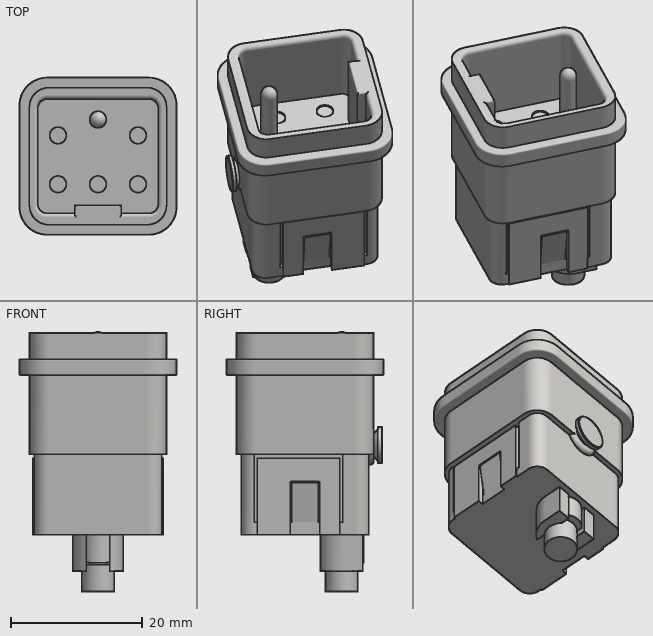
import cadquery as cq

total_height = 39.6
clamp_bottom = 3.13
stub_top = 4.1
core_bottom = 4.4
body_bottom = 8.65
recess_bottom = 10.57
body_step = 20.9
flange_bottom = 33.0
flange_top = 35.45
rim_top = 39.45
floor_height = 26.8

upper_width = 20.9
upper_radius = 2.97
lower_width = 19.5
lower_radius = 1.98
flange_width = 24.0
flange_radius = 4.28
flange_edge = 0.25

cavity_length = 18.37
cavity_width = 17.42
cavity_radius = 1.43
rim_fillet = 0.6
key_width = 7.13
key_front = -7.45
key_edge = 0.25

contact_radius = 1.25
contact_depth = 0.25
contact_x = 6.1
back_row_y = 3.15
front_row_y = -4.28
earth_y = 5.6

plate_center_y = -1.0
plate_width = 12.6
plate_top = 20.35
plate_outer_x = 9.98
recess_width = 13.5
recess_depth = 0.65
recess_floor_x = lower_width / 2 - recess_depth
window_width = 4.47
window_top = 16.8
window_corner = 0.25
hook_gap = 0.25

screw_z = 22.35
boss_radius = 3.0
boss_face_y = 10.5
boss_fillet = 0.6
screw_neck_radius = 1.82
screw_cone_radius = 2.45
screw_head_radius = 2.77
screw_head_start_y = 11.13
screw_head_end_y = 11.8
screw_head_edge = 0.1

clamp_center_y = 5.8
clamp_radius = 3.9
clamp_back_y = 8.85
clamp_slot_width = 3.55
core_radius = 2.55
core_center_y = 6.45
stub_radius = 2.5
neck_radius = 1.35

overlap = 0.4


def rounded_block(length, width, radius, bottom, top):
    """Block centred on the Z axis with rounded vertical edges."""
    block = cq.Workplane("XY").workplane(offset=bottom).rect(length, width).extrude(top - bottom)
    return block.edges("|Z").fillet(radius)


def rod(radius, x, y, bottom, top):
    """Vertical cylinder."""
    return cq.Workplane("XY").workplane(offset=bottom).center(x, y).circle(radius).extrude(top - bottom)


def block(x_range, y_range, z_range):
    """Block given by its limits along each axis."""
    sizes = [high - low for low, high in (x_range, y_range, z_range)]
    corner = (x_range[0], y_range[0], z_range[0])
    return cq.Workplane("XY").box(*sizes, centered=False).translate(corner)


def housing():
    """Stepped shell with the flange and the open mating cavity."""
    lower = rounded_block(lower_width, lower_width, lower_radius, body_bottom, body_step)
    upper = rounded_block(upper_width, upper_width, upper_radius, body_step, rim_top)
    flange = rounded_block(flange_width, flange_width, flange_radius, flange_bottom, flange_top)
    flange = flange.faces("<Z or >Z").edges().fillet(flange_edge)
    cavity = rounded_block(cavity_length, cavity_width, cavity_radius, floor_height, rim_top)
    body = lower.union(upper).union(flange).cut(cavity)
    opening_edges = body.faces(">Z").val().innerWires()[0].Edges()
    return body.newObject(opening_edges).fillet(rim_fillet)


def key():
    """Coding key standing against the -Y wall of the cavity."""
    key_back = -cavity_width / 2 - rim_fillet - key_edge
    half = key_width / 2
    bar = block((-half, half), (key_back, key_front), (floor_height - overlap, rim_top))
    return bar.faces(">Z").edges("<X or >X or >Y").fillet(key_edge)


def earth_pin():
    """Round-ended pin standing on the cavity floor."""
    pin = rod(contact_radius, 0, earth_y, floor_height - overlap, total_height - contact_radius)
    tip = cq.Workplane("XY").sphere(contact_radius)
    return pin.union(tip.translate((0, earth_y, total_height - contact_radius)))


def contact_holes():
    """Shallow round recesses of the five contacts in the cavity floor."""
    places = [(side * contact_x, back_row_y) for side in (-1, 1)]
    places += [(side * contact_x, front_row_y) for side in (-1, 0, 1)]
    holes = cq.Workplane("XY").workplane(offset=floor_height - contact_depth)
    return holes.pushPoints(places).circle(contact_radius).extrude(contact_depth)


def plate_recess():
    """Recess in the +X side that surrounds the latch plate."""
    half = recess_width / 2
    y_range = (plate_center_y - half, plate_center_y + half)
    return block((recess_floor_x, plate_outer_x), y_range, (recess_bottom, body_step))


def latch_plate():
    """Raised plate of the +X side."""
    half = plate_width / 2
    y_range = (plate_center_y - half, plate_center_y + half)
    return block((recess_floor_x - overlap, plate_outer_x), y_range, (body_bottom, plate_top))


def latch_window():
    """Opening through the +X plate, open at the bottom."""
    half = window_width / 2
    opening = block((recess_floor_x, plate_outer_x), (-half, half), (body_bottom, window_top))
    return opening.faces(">Z").edges("|X").fillet(window_corner)


def latch_hook():
    """Wedge in the +X window: flat catch on top, running out to nothing at its lower end."""
    hook_width = window_width - 2 * hook_gap
    hook_top = window_top - hook_gap
    profile = [
        (recess_floor_x - overlap, hook_top),
        (plate_outer_x, hook_top),
        (recess_floor_x, recess_bottom),
        (recess_floor_x - overlap, recess_bottom),
    ]
    return cq.Workplane("XZ").polyline(profile).close().extrude(hook_width / 2, both=True)


def add_latches(body):
    """Put the same latch on the +X side and, mirrored, on the -X side."""
    opening = plate_recess().union(latch_window())
    latch = latch_plate().cut(latch_window()).union(latch_hook())
    body = body.cut(opening).cut(opening.mirror("YZ"))
    return body.union(latch).union(latch.mirror("YZ"))


def earth_screw():
    """Rounded boss on the +Y side carrying a flat screw head on a conical neck."""
    root_y = lower_width / 2 - overlap
    boss = cq.Workplane("XZ").circle(boss_radius).extrude(-(boss_face_y - root_y))
    boss = boss.faces(">Y").edges().fillet(boss_fillet).translate((0, root_y, screw_z))
    profile = [
        (0, boss_face_y - overlap),
        (screw_neck_radius, boss_face_y - overlap),
        (screw_neck_radius, boss_face_y),
        (screw_cone_radius, screw_head_start_y),
        (screw_head_radius, screw_head_start_y),
        (screw_head_radius, screw_head_end_y - screw_head_edge),
        (screw_head_radius - screw_head_edge, screw_head_end_y),
        (0, screw_head_end_y),
    ]
    screw = cq.Workplane("XY").polyline(profile).close().revolve(360, (0, 0), (0, 1))
    return boss.union(screw.translate((0, 0, screw_z)))


def cable_clamp():
    """Slotted clamp, round at the front and flat at the back, around the cable core."""
    clamp_front_y = clamp_center_y - clamp_radius
    clamp = (
        cq.Workplane("XY")
        .workplane(offset=clamp_bottom)
        .moveTo(clamp_radius, clamp_back_y)
        .lineTo(clamp_radius, clamp_center_y)
        .threePointArc((0, clamp_front_y), (-clamp_radius, clamp_center_y))
        .lineTo(-clamp_radius, clamp_back_y)
        .close()
        .extrude(body_bottom - clamp_bottom)
    )
    half_slot = clamp_slot_width / 2
    slot = block((-half_slot, half_slot), (clamp_front_y, clamp_back_y), (clamp_bottom, body_bottom))
    core = rod(core_radius, 0, core_center_y, core_bottom, body_bottom)
    neck = rod(neck_radius, 0, earth_y, stub_top, core_bottom)
    stub = rod(stub_radius, 0, earth_y, 0, stub_top)
    return clamp.cut(slot).union(core).union(neck).union(stub)


body = housing().union(key()).union(earth_pin()).cut(contact_holes())
body = add_latches(body)
result = body.union(earth_screw()).union(cable_clamp())